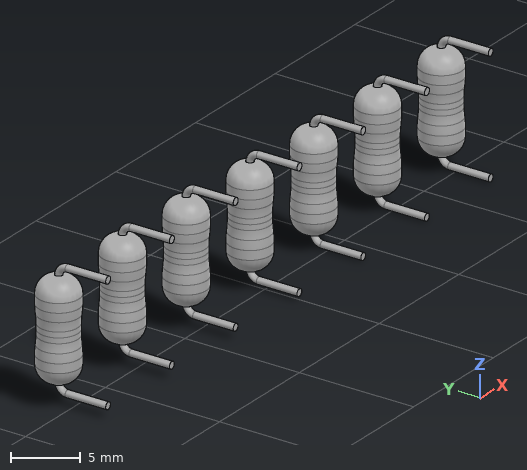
import cadquery as cq
import math

overall_length = 51.5
body_diameter = 3.5
resistor_heights = [0.6, 0.7, 0.6, 0.25, 0.0, 0.0, 0.0]
pitch = (overall_length - body_diameter) / (len(resistor_heights) - 1)

body_radius = body_diameter / 2
waist_radius = 1.65
body_half_height = 4.3
end_round = 1.5
end_face_radius = body_radius - end_round
bulge_top = body_half_height - end_round
bulge_bottom = 2.0
waist_half_height = 0.45

wire_radius = 0.3
lead_spacing = 10.0
lead_reach = 4.35
bend_radius = 0.75


def make_body():
    """Revolve the half outline: rounded ends, two bulges and a narrow waist."""
    ease_radius = (body_radius + waist_radius) / 2
    ease_height = (bulge_bottom + waist_half_height) / 2

    round_corner = end_round * math.sqrt(0.5)
    corner_mid = (end_face_radius + round_corner, bulge_top + round_corner)

    outline = (
        cq.Workplane("YZ")
        .moveTo(0, 0)
        .lineTo(waist_radius, 0)
        .lineTo(waist_radius, waist_half_height)
        .tangentArcPoint((ease_radius, ease_height), relative=False)
        .tangentArcPoint((body_radius, bulge_bottom), relative=False)
        .lineTo(body_radius, bulge_top)
        .threePointArc(corner_mid, (end_face_radius, body_half_height))
        .lineTo(0, body_half_height)
        .close()
    )
    upper_half = outline.revolve(360, (0, 0, 0), (0, 1, 0))
    return upper_half.union(upper_half.mirror("XY"))


def make_upper_lead():
    """Sweep the wire up out of the body and round the bend toward -Y."""
    lead_height = lead_spacing / 2
    bend_start = lead_height - bend_radius
    path = (
        cq.Workplane("YZ")
        .moveTo(0, 0)
        .lineTo(0, bend_start)
        .radiusArc((-bend_radius, lead_height), -bend_radius)
        .lineTo(-lead_reach, lead_height)
    )
    return cq.Workplane("XY").circle(wire_radius).sweep(path)


def make_resistor():
    """Join the body and its two leads into one solid."""
    upper_lead = make_upper_lead()
    lower_lead = upper_lead.mirror("XY")
    return make_body().union(upper_lead).union(lower_lead)


resistor = make_resistor()
row_start = -(overall_length - body_diameter) / 2
resistors = [
    resistor.translate((row_start + index * pitch, 0, height)).val()
    for index, height in enumerate(resistor_heights)
]

result = cq.Compound.makeCompound(resistors)